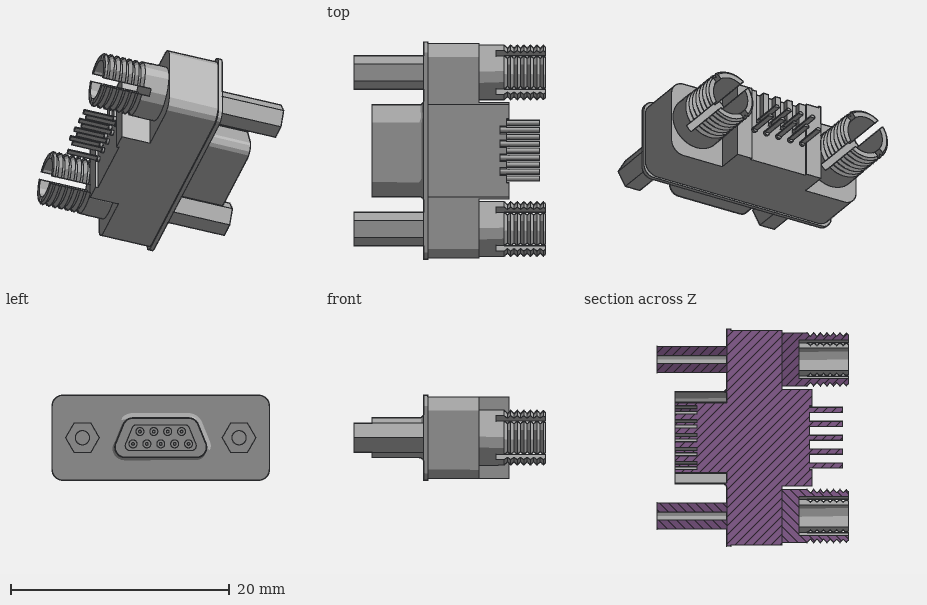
import cadquery as cq
import math


flange_width = 19.89
flange_height = 7.8
flange_thickness = 0.38
flange_corner_radius = 1.0
block_width = 19.64
block_height = 7.47
block_corner_radius = 1.27
block_back = 5.08

extension_width = 8.86
extension_back = 7.81
recess_width = 8.43
recess_depth = 0.15

shroud_length = 4.73
shroud_wall = 0.05
shroud_base_fillet = 0.4
shroud_corner_radius = 0.97
shroud_half_height = 1.83
shroud_top_arc_y = 2.54
shroud_bottom_arc_y = 3.24
insert_length = 4.73
insert_corner_radius = 0.45
insert_half_height = 1.18
insert_top_arc_y = 2.2
insert_bottom_arc_y = 2.8

contact_pitch = 1.27
row_spacing = 1.13
upper_row_count = 4
lower_row_count = 5
upper_row_z = row_spacing / 2
lower_row_z = -row_spacing / 2
socket_diameter = 0.73
socket_depth = 2.0
contact_diameter = 0.25
lead_diameter = 0.5
lead_end = 10.61

pocket_width = 5.84
pocket_floor = 7.58
notch_width = 0.71
notch_floor = 6.98

fastener_spacing = 14.32
post_length = 6.38
post_across_flats = 2.67
post_hole_diameter = 1.3

collar_radius = 2.52
collar_bore_radius = 1.83
overall_length = 17.53
collar_end = overall_length - post_length
slot_start = 6.62
slot_width = 0.7
slot_angles = (45, 135)
thread_start = 7.36
thread_pitch = 0.6
thread_root_radius = 2.21
full_thread_count = 5
end_crest_radius = 2.5
end_crest_x = 10.94
collar_end_radius = 2.3


def plane_at(x):
    """Sketch plane facing +X, with local x along Y and local y along Z."""
    return cq.Workplane("YZ", origin=(x, 0, 0))


def slab(width, height, x_start, x_end):
    """Rectangular block centred on the X axis."""
    return plane_at(x_start).rect(width, height).extrude(x_end - x_start)


def d_prism(top_arc_y, bottom_arc_y, half_height, radius, length):
    """Round-cornered trapezoid standing forward from the flange face."""
    arc_z = half_height - radius
    corners = [
        (-bottom_arc_y, -arc_z),
        (bottom_arc_y, -arc_z),
        (top_arc_y, arc_z),
        (-top_arc_y, arc_z),
    ]
    return plane_at(-length).polyline(corners).close().offset2D(radius, "arc").extrude(length)


def row_points(count, z):
    """Points of one contact row, centred on Y = 0."""
    return [((i - (count - 1) / 2) * contact_pitch, z) for i in range(count)]


upper_row = row_points(upper_row_count, upper_row_z)
contact_points = upper_row + row_points(lower_row_count, lower_row_z)


def rods(points, diameter, x_start, x_end):
    """Round rods along X at the given points."""
    return plane_at(x_start).pushPoints(points).circle(diameter / 2).extrude(x_end - x_start)


def make_flange_and_shroud():
    flange = slab(flange_width, flange_height, 0, flange_thickness)
    flange = flange.edges("|X").fillet(flange_corner_radius)
    shroud = d_prism(
        shroud_top_arc_y, shroud_bottom_arc_y, shroud_half_height, shroud_corner_radius, shroud_length
    )
    select_half_width = shroud_bottom_arc_y + 2 * shroud_corner_radius
    select_half_height = 2 * shroud_half_height
    select_depth = flange_thickness / 2
    base_corner = cq.selectors.BoxSelector(
        (-select_depth, -select_half_width, -select_half_height),
        (select_depth, select_half_width, select_half_height),
        boundingbox=True,
    )
    body = flange.union(shroud).edges(base_corner).fillet(shroud_base_fillet)
    cavity = d_prism(
        shroud_top_arc_y,
        shroud_bottom_arc_y,
        shroud_half_height - shroud_wall,
        shroud_corner_radius - shroud_wall,
        shroud_length,
    )
    return body.cut(cavity)


def make_insert():
    return d_prism(
        insert_top_arc_y, insert_bottom_arc_y, insert_half_height, insert_corner_radius, insert_length
    )


def make_block():
    block = slab(block_width, block_height, flange_thickness, block_back)
    block = block.edges("|X").fillet(block_corner_radius)
    block = block.union(slab(extension_width, block_height, flange_thickness, extension_back))

    recess = slab(recess_width, 2 * recess_depth, flange_thickness, extension_back)
    block = block.cut(recess.translate((0, 0, block_height / 2)))

    block = block.cut(slab(pocket_width, block_height, pocket_floor, extension_back))
    notch_bottom = upper_row_z - lead_diameter / 2
    notch_height = block_height / 2 - notch_bottom
    for y, _ in upper_row:
        notch = slab(notch_width, notch_height, notch_floor, pocket_floor)
        block = block.cut(notch.translate((0, y, notch_bottom + notch_height / 2)))
    return block


def make_leads():
    """Round leads that lose their lower half once they leave the extension."""
    leads = rods(contact_points, lead_diameter, notch_floor, lead_end)
    for y, z in contact_points:
        lower_half = slab(lead_diameter, lead_diameter / 2, extension_back, lead_end)
        leads = leads.cut(lower_half.translate((0, y, z - lead_diameter / 4)))
    return leads


def make_housing():
    """Flange, shroud, insert, block and contacts as one body."""
    housing = make_flange_and_shroud().union(make_insert()).union(make_block())
    socket_floor = socket_depth - insert_length
    housing = housing.cut(rods(contact_points, socket_diameter, -insert_length, socket_floor))
    housing = housing.union(rods(contact_points, contact_diameter, -insert_length, socket_floor))
    return housing.union(make_leads())


def make_post(y):
    """Hexagonal jack post with a through hole, corners along Y."""
    across_corners = post_across_flats / math.cos(math.radians(30))
    post = plane_at(-post_length).center(y, 0).polygon(6, across_corners).extrude(post_length)
    return post.faces("<X").workplane(centerOption="CenterOfBoundBox").hole(post_hole_diameter)


def make_collar(y):
    """Collar with ring-shaped threads, bored and split by two crossed slots."""
    profile = [(block_back, 0), (block_back, collar_radius), (thread_start, collar_radius)]
    for i in range(full_thread_count):
        crest_x = thread_start + i * thread_pitch
        profile.append((crest_x + thread_pitch / 2, thread_root_radius))
        profile.append((crest_x + thread_pitch, collar_radius))
    last_root_x = thread_start + (full_thread_count + 0.5) * thread_pitch
    profile.append((last_root_x, thread_root_radius))
    profile.append((end_crest_x, end_crest_radius))
    profile.append((collar_end, collar_end_radius))
    profile.append((collar_end, 0))
    collar = cq.Workplane("XY").polyline(profile).close().revolve(360, (0, 0, 0), (1, 0, 0))

    slot_length = collar_end - slot_start
    collar = collar.cut(plane_at(slot_start).circle(collar_bore_radius).extrude(slot_length))
    for angle in slot_angles:
        slot = slab(3 * collar_radius, slot_width, slot_start, collar_end)
        collar = collar.cut(slot.rotate((0, 0, 0), (1, 0, 0), angle))
    return collar.translate((0, y, 0))


housing = make_housing()
fastener_ys = (-fastener_spacing / 2, fastener_spacing / 2)
posts = [make_post(y) for y in fastener_ys]
collars = [make_collar(y) for y in fastener_ys]

result = cq.Compound.makeCompound(
    [housing.val()] + [post.val() for post in posts] + [collar.val() for collar in collars]
)